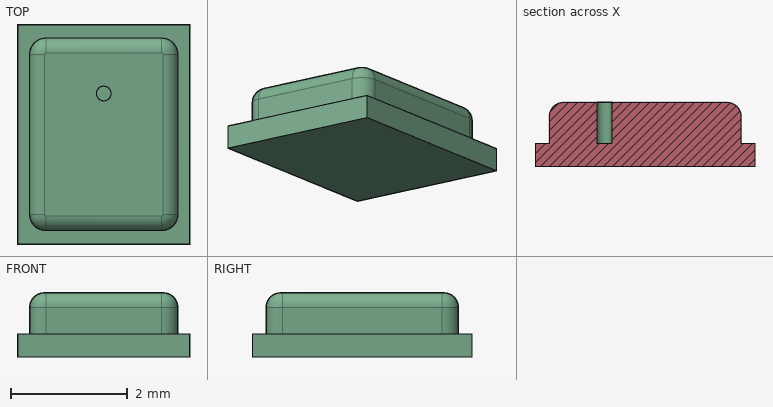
import cadquery as cq

base_width = 2.95
base_length = 3.76
base_height = 0.4

total_height = 1.1
lid_height = total_height - base_height
lid_width = 2.538
lid_length = 3.295
lid_corner_radius = 0.28
lid_rim_radius = 0.252

port_diameter = 0.252
port_offset_y = 0.7


def make_base():
    return cq.Workplane("XY").box(base_width, base_length, base_height, centered=(True, True, False))


def make_lid():
    lid = cq.Workplane("XY").workplane(offset=base_height)
    lid = lid.box(lid_width, lid_length, lid_height, centered=(True, True, False))
    lid = lid.edges("|Z").fillet(lid_corner_radius)
    return lid.faces(">Z").edges().fillet(lid_rim_radius)


def make_port():
    port = cq.Workplane("XY").workplane(offset=base_height).center(0, port_offset_y)
    return port.circle(port_diameter / 2).extrude(lid_height)


result = make_base().union(make_lid()).cut(make_port())